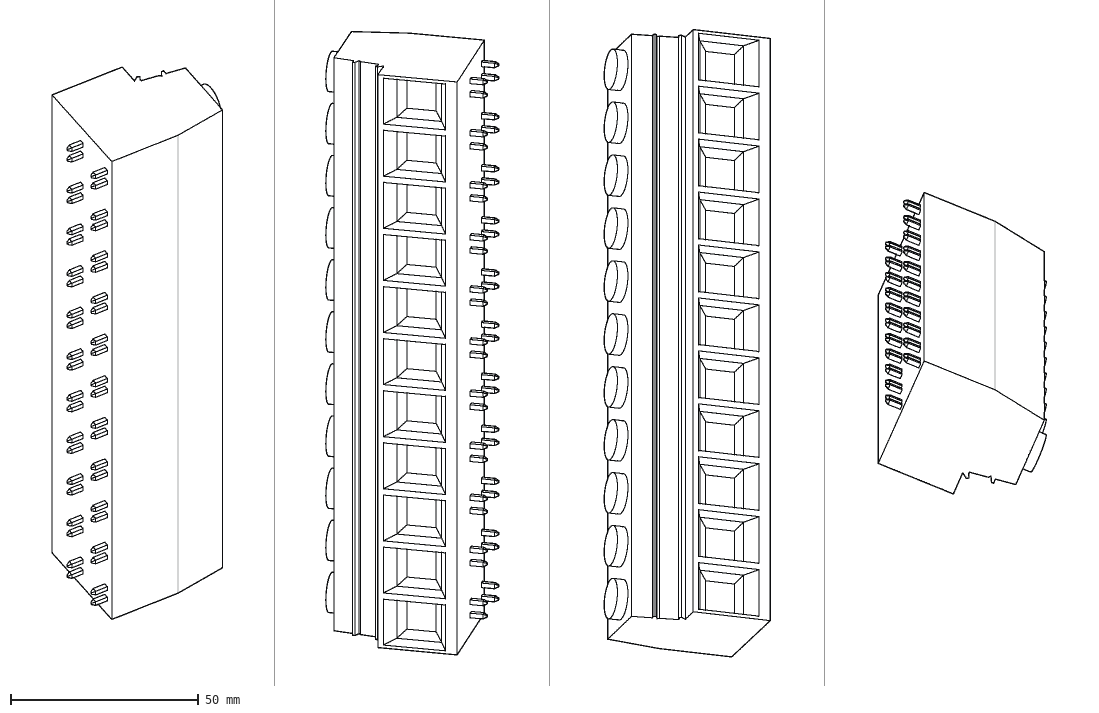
import cadquery as cq

pole_count = 11
total_length = 165.0
pitch = total_length / pole_count

housing_width = 31.0
housing_height = 36.0
base_tilt = 0.21
block_height = 21.6
tower_front_top = 8.9
tower_front_bottom = 7.3
tower_foot_height = 23.3
tower_back_top = 28.4
back_slope_start = 20.6

upper_ridge_top = 30.4
upper_ridge_bottom = 29.7
upper_ridge_tip = 7.0
groove_top = 28.9
groove_bottom = 28.4
groove_depth = 0.5
lower_ridge_tip = 5.3
lower_ridge_height = 23.1
lower_ridge_crest = 5.8
lower_ridge_crest_height = 23.8
lower_ridge_heel = 6.5

entry_low = 3.0
entry_high = 20.1
entry_length = 13.2
throat_low = 5.5
throat_high = 17.8
throat_depth = 5.6
floor_low = 7.5
floor_high = 15.5
floor_length = 8.9
floor_depth = 7.5

screw_diameter = 10.9
screw_x = 17.3
screw_rise = 3.0

pin_rows_x = (15.5, 28.0)
pin_spacing = 3.8
pin_width = 1.3
pin_length = 4.6
pin_taper_length = 1.0
pin_tip_width = 0.5
overlap = 0.8


def front_face_x(y):
    """X of the sloped front face of the tower at height y."""
    slope = (tower_front_top - tower_front_bottom) / (housing_height - tower_foot_height)
    return tower_front_bottom + slope * (y - tower_foot_height)


def make_housing():
    """Housing with its two undercut ridges, extruded along all the poles."""
    outline = [
        (0, -base_tilt),
        (housing_width, 0),
        (housing_width, back_slope_start),
        (tower_back_top, housing_height),
        (tower_front_top, housing_height),
        (front_face_x(upper_ridge_top), upper_ridge_top),
        (upper_ridge_tip, upper_ridge_top),
        (upper_ridge_tip, upper_ridge_bottom),
        (front_face_x(groove_top) + groove_depth, groove_top),
        (front_face_x(groove_bottom), groove_bottom),
        (tower_front_bottom, tower_foot_height),
        (lower_ridge_heel, tower_foot_height),
        (lower_ridge_crest, lower_ridge_crest_height),
        (lower_ridge_tip, lower_ridge_height),
        (lower_ridge_heel, block_height),
        (0, block_height),
    ]
    return cq.Workplane("XY").polyline(outline).close().extrude(total_length)


def rectangle_wire(x, y_low, y_high, z_center, z_length):
    """Rectangle in a plane of constant X."""
    z_low = z_center - z_length / 2
    z_high = z_center + z_length / 2
    corners = [(y_low, z_low), (y_high, z_low), (y_high, z_high), (y_low, z_high)]
    return cq.Wire.makePolygon([cq.Vector(x, y, z) for y, z in corners], close=True)


def make_entry(z):
    """Wire entry: a mouth narrowing in Y, then a funnel down to a flat floor."""
    mouth = rectangle_wire(0, entry_low, entry_high, z, entry_length)
    throat = rectangle_wire(throat_depth, throat_low, throat_high, z, entry_length)
    floor = rectangle_wire(floor_depth, floor_low, floor_high, z, floor_length)
    outer = cq.Solid.makeLoft([mouth, throat], True)
    inner = cq.Solid.makeLoft([throat, floor], True)
    return cq.Workplane(outer).union(cq.Workplane(inner))


def make_screw(z):
    base = cq.Vector(screw_x, housing_height - overlap, z)
    head = cq.Solid.makeCylinder(screw_diameter / 2, screw_rise + overlap, base, cq.Vector(0, 1, 0))
    return cq.Workplane(head)


def make_pin(x, z):
    """Square pin pointing to -Y with a tapered tip."""
    shank_length = pin_length - pin_taper_length
    shank = (
        cq.Workplane("XZ", origin=(x, overlap, z))
        .rect(pin_width, pin_width)
        .extrude(overlap + shank_length)
    )
    tip = (
        cq.Workplane("XZ", origin=(x, -shank_length, z))
        .rect(pin_width, pin_width)
        .workplane(offset=pin_taper_length)
        .rect(pin_tip_width, pin_tip_width)
        .loft(ruled=True)
    )
    return shank.union(tip)


result = make_housing()
for pole in range(pole_count):
    pole_z = (pole + 0.5) * pitch
    result = result.cut(make_entry(pole_z))
    result = result.union(make_screw(pole_z))
    for pin_x in pin_rows_x:
        for side in (-1, 1):
            result = result.union(make_pin(pin_x, pole_z + side * pin_spacing / 2))